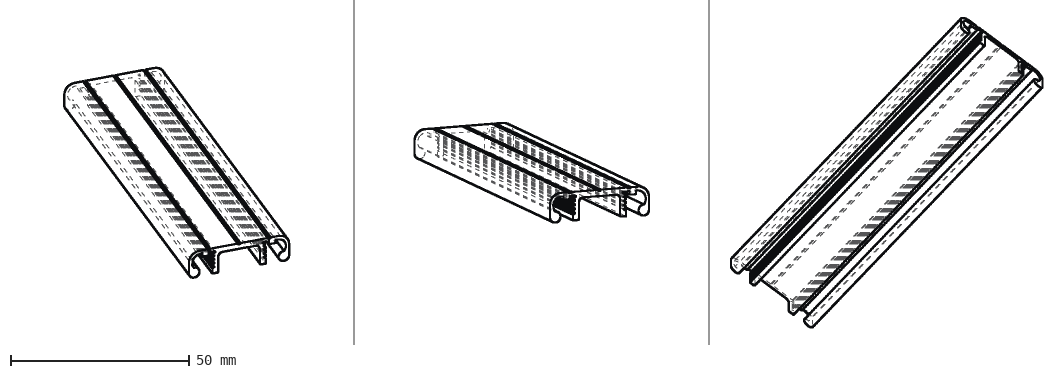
import cadquery as cq
import math

LENGTH = 100.0
WIDTH = 30.0
HEIGHT = 8.4

CORNER_RADIUS = 3.2
BEAD_RADIUS = 1.6
WALL = 1.0
SIDE_WEB = 1.1
MIDDLE_WEB = 1.8
CAVITY_RADIUS = 2.5

RIB_INNER = 6.2
RIB_OUTER = 8.0
RIB_BOTTOM = 0.2
CHANNEL_FILLET = 1.3
RIB_TIP_FILLET = 0.5

RAIL_INNER = 9.0
RAIL_OUTER = 11.0
RAIL_DROP = 1.0

TOOTH_PITCH = 1.2
TOOTH_DEPTH = 0.6
TOOTH_COUNT = 4
TIP_FLAT = 0.3
LOWEST_VALLEY = 2.3
TOP_TIP_INSET = 0.3
UNDERCUT_DEPTH = 0.9
UNDERCUT_DROP = 0.3

GROOVE_WIDTH = 0.8
GROOVE_FLOOR = 0.5
GROOVE_DEPTH = 0.3
GROOVE_SPACING = 9.0

HALF_WIDTH = WIDTH / 2
SIDE_CEILING = HEIGHT - SIDE_WEB
MIDDLE_CEILING = HEIGHT - MIDDLE_WEB
BEAD_CENTER = (HALF_WIDTH - BEAD_RADIUS, BEAD_RADIUS)
CAVITY_CENTER = (HALF_WIDTH - WALL - CAVITY_RADIUS, SIDE_CEILING - CAVITY_RADIUS)


def on_circle(center, radius, degrees):
    """Point of a circle at an angle measured from +Y towards +Z."""
    angle = math.radians(degrees)
    return (center[0] + radius * math.cos(angle), center[1] + radius * math.sin(angle))


def bead_cavity_corner():
    """Outer crossing of the bead circle with the cavity circle."""
    dy = CAVITY_CENTER[0] - BEAD_CENTER[0]
    dz = CAVITY_CENTER[1] - BEAD_CENTER[1]
    distance = math.hypot(dy, dz)
    along = (distance**2 + BEAD_RADIUS**2 - CAVITY_RADIUS**2) / (2 * distance)
    across = math.sqrt(BEAD_RADIUS**2 - along**2)
    return (
        BEAD_CENTER[0] + (along * dy + across * dz) / distance,
        BEAD_CENTER[1] + (along * dz - across * dy) / distance,
    )


def extrude_profile(sketch):
    """Close a YZ profile and extrude it over the full length, centered on X."""
    return sketch.close().extrude(LENGTH / 2, both=True)


def half_body():
    """The +Y half of the rail, without serrations and top grooves."""
    corner_center = (HALF_WIDTH - CORNER_RADIUS, HEIGHT - CORNER_RADIUS)
    rail_bottom = SIDE_CEILING - RAIL_DROP
    channel_center = (RIB_INNER - CHANNEL_FILLET, MIDDLE_CEILING - CHANNEL_FILLET)
    tip_center = (RIB_INNER + RIB_TIP_FILLET, RIB_BOTTOM + RIB_TIP_FILLET)
    outline = (
        cq.Workplane("YZ")
        .moveTo(0, HEIGHT)
        .lineTo(corner_center[0], HEIGHT)
        .threePointArc(on_circle(corner_center, CORNER_RADIUS, 45), (HALF_WIDTH, corner_center[1]))
        .lineTo(HALF_WIDTH, BEAD_CENTER[1])
        .threePointArc(on_circle(BEAD_CENTER, BEAD_RADIUS, 225), bead_cavity_corner())
        .threePointArc(on_circle(CAVITY_CENTER, CAVITY_RADIUS, 45), (CAVITY_CENTER[0], SIDE_CEILING))
        .lineTo(RAIL_OUTER, SIDE_CEILING)
        .lineTo(RAIL_OUTER, rail_bottom)
        .lineTo(RAIL_INNER, rail_bottom)
        .lineTo(RAIL_INNER, SIDE_CEILING)
        .lineTo(RIB_OUTER, SIDE_CEILING)
        .lineTo(RIB_OUTER, RIB_BOTTOM)
        .lineTo(tip_center[0], RIB_BOTTOM)
        .threePointArc(on_circle(tip_center, RIB_TIP_FILLET, 225), (RIB_INNER, tip_center[1]))
        .lineTo(RIB_INNER, channel_center[1])
        .threePointArc(on_circle(channel_center, CHANNEL_FILLET, 45), (channel_center[0], MIDDLE_CEILING))
        .lineTo(0, MIDDLE_CEILING)
    )
    return extrude_profile(outline)


def serrations():
    """V-notches up the outer face of the +Y rib, and the undercut below the web."""
    undercut_z = SIDE_CEILING - UNDERCUT_DROP
    flank_rise = (TOOTH_PITCH - TIP_FLAT) / 2
    outside = RIB_OUTER + TOOTH_DEPTH
    mouth_z = LOWEST_VALLEY - flank_rise
    points = [(outside, mouth_z), (RIB_OUTER, mouth_z)]
    for tooth in range(TOOTH_COUNT):
        valley_z = LOWEST_VALLEY + tooth * TOOTH_PITCH
        tip_inset = TOP_TIP_INSET if tooth == TOOTH_COUNT - 1 else 0
        points.append((RIB_OUTER - TOOTH_DEPTH, valley_z))
        points.append((RIB_OUTER - tip_inset, valley_z + flank_rise))
        points.append((RIB_OUTER - tip_inset, valley_z + flank_rise + TIP_FLAT))
    points.append((RIB_OUTER - UNDERCUT_DEPTH, undercut_z))
    points.append((RIB_OUTER - UNDERCUT_DEPTH + UNDERCUT_DROP, SIDE_CEILING))
    points.append((outside, SIDE_CEILING))
    return extrude_profile(cq.Workplane("YZ").polyline(points))


def top_groove(y):
    """Groove with sloping sides and a narrow flat floor, centered at y."""
    floor_z = HEIGHT - GROOVE_DEPTH
    points = [
        (y - GROOVE_WIDTH / 2, HEIGHT),
        (y - GROOVE_FLOOR / 2, floor_z),
        (y + GROOVE_FLOOR / 2, floor_z),
        (y + GROOVE_WIDTH / 2, HEIGHT),
    ]
    return extrude_profile(cq.Workplane("YZ").polyline(points))


half = half_body().cut(serrations())
result = half.union(half.mirror("XZ"))
for side in (-1, 0, 1):
    result = result.cut(top_groove(side * GROOVE_SPACING))